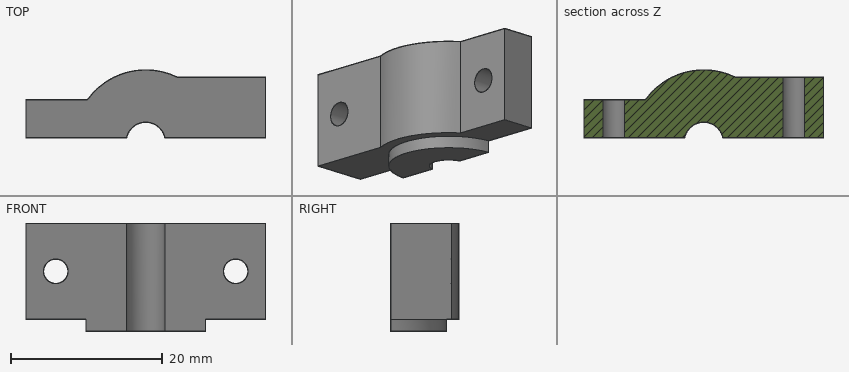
import cadquery as cq

length = 31.75
body_height = 12.7
boss_height = 1.6
thin_wing_depth = 5.08
thick_wing_depth = 8.03

axis_y = -0.5
dome_radius = 9.52
boss_radius = 7.95
bore_radius = 2.57

screw_hole_diameter = 3.2
screw_hole_spacing = 23.8

total_height = body_height + boss_height


def wing(x_start, depth):
    """Half-length block standing behind the flat face at Y = 0."""
    return cq.Workplane("XY").box(length / 2, depth, body_height, centered=False).translate((x_start, 0, 0))


def axis_cylinder(radius, z_bottom, height):
    """Upright cylinder on the shared axis."""
    return cq.Workplane("XY", origin=(0, axis_y, z_bottom)).circle(radius).extrude(height)


def behind_flat_face(solid):
    """Keep only the material on the +Y side of the flat face."""
    keep = cq.Workplane("XY").box(length, length, 2 * total_height, centered=(True, False, True))
    return solid.intersect(keep)


body = wing(-length / 2, thin_wing_depth).union(wing(0, thick_wing_depth))
dome = behind_flat_face(axis_cylinder(dome_radius, 0, body_height))

boss = behind_flat_face(axis_cylinder(boss_radius, -boss_height, total_height))

bore = axis_cylinder(bore_radius, -boss_height, total_height)

screw_holes = (
    cq.Workplane("XZ", origin=(0, 0, body_height / 2))
    .pushPoints([(side * screw_hole_spacing / 2, 0) for side in (-1, 1)])
    .circle(screw_hole_diameter / 2)
    .extrude(-length)
)

result = body.union(dome).union(boss).cut(bore).cut(screw_holes)